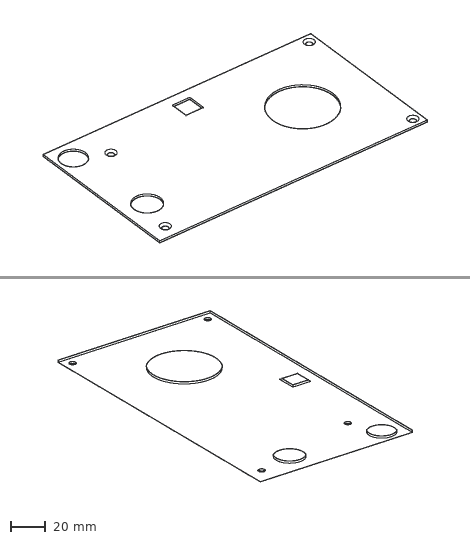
import cadquery as cq

plate_width = 109.7
plate_length = 196.6
plate_thickness = 1.51

large_opening = (0, 49.5, 44.0)
right_opening = (20.8, -81.0, 19.0)
left_opening = (-41.3, -86.7, 17.7)

window_side = 12.8
window_center = (-41.3, -2.5)

screw_diameter = 4.1
countersink_diameter = 7.0
countersink_angle = 90
top_screw_x = 48.8
top_screw_y = 92.5
screw_centers = [
    (-top_screw_x, top_screw_y),
    (top_screw_x, top_screw_y),
    (-32.0, -66.3),
    (45.2, -86.7),
]


def top_face(body):
    """Workplane on the upper face, with its origin at the plate centre."""
    return body.faces(">Z").workplane(origin=(0, 0, plate_thickness))


def cut_round_opening(body, x, y, diameter):
    return top_face(body).center(x, y).hole(diameter)


def cut_window(body):
    return top_face(body).center(*window_center).rect(window_side, window_side).cutThruAll()


def cut_screw_holes(body):
    holes = top_face(body).pushPoints(screw_centers)
    return holes.cskHole(screw_diameter, countersink_diameter, countersink_angle)


plate = cq.Workplane("XY").box(
    plate_width, plate_length, plate_thickness, centered=(True, True, False)
)
for x, y, diameter in (large_opening, right_opening, left_opening):
    plate = cut_round_opening(plate, x, y, diameter)
plate = cut_window(plate)
result = cut_screw_holes(plate)